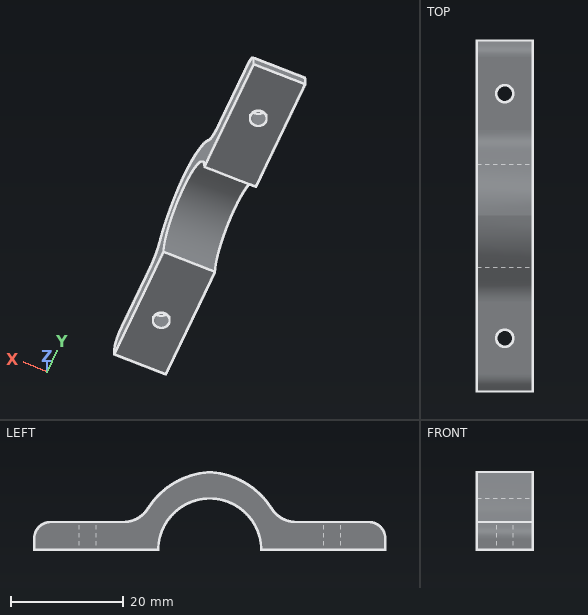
import math

import cadquery as cq

width = 10.0
length = 62.51
height = 13.87
flange_thickness = 5.0
end_radius = 3.0
bore_radius = 9.15
crown_center_offset = 0.75
blend_radius = 5.0
hole_diameter = 3.0
hole_spacing = 43.5

half_length = length / 2

crown_center_y = -crown_center_offset
crown_radius = math.hypot(height, crown_center_offset)

blend_center_z = flange_thickness + blend_radius
center_distance = crown_radius + blend_radius
blend_center_y = crown_center_y + math.sqrt(center_distance**2 - blend_center_z**2)
blend_start_angle = math.asin(blend_center_z / center_distance)


def flank_point(angle):
    """Point of the +Y flank arc at an angle measured up from +Y."""
    return (
        crown_center_y + crown_radius * math.cos(angle),
        crown_radius * math.sin(angle),
    )


def blend_point(angle):
    """Point of the +Y blend arc at an angle measured up from +Y."""
    return (
        blend_center_y + blend_radius * math.cos(angle),
        blend_center_z + blend_radius * math.sin(angle),
    )


def half_strap():
    """The +Y half of the strap: flange, blend and half of the arch."""
    crown_angle = math.acos(crown_center_offset / crown_radius)
    flank_middle = flank_point((crown_angle + blend_start_angle) / 2)
    flank_end = flank_point(blend_start_angle)

    blend_first_angle = math.pi + blend_start_angle
    blend_last_angle = 1.5 * math.pi
    blend_middle = blend_point((blend_first_angle + blend_last_angle) / 2)

    tip_diagonal = end_radius * (1 - math.sqrt(0.5))
    tip_middle = (half_length - tip_diagonal, flange_thickness - tip_diagonal)
    bore_diagonal = bore_radius * math.sqrt(0.5)

    return (
        cq.Workplane("YZ", origin=(-width / 2, 0, 0))
        .moveTo(0, height)
        .threePointArc(flank_middle, flank_end)
        .threePointArc(blend_middle, (blend_center_y, flange_thickness))
        .lineTo(half_length - end_radius, flange_thickness)
        .threePointArc(tip_middle, (half_length, flange_thickness - end_radius))
        .lineTo(half_length, 0)
        .lineTo(bore_radius, 0)
        .threePointArc((bore_diagonal, bore_diagonal), (0, bore_radius))
        .close()
        .extrude(width)
    )


def screw_holes():
    """Vertical through holes, one in each flange."""
    return (
        cq.Workplane("XY")
        .pushPoints([(0, -hole_spacing / 2), (0, hole_spacing / 2)])
        .circle(hole_diameter / 2)
        .extrude(flange_thickness)
    )


right_half = half_strap()
left_half = right_half.mirror("XZ")
result = right_half.union(left_half).cut(screw_holes())